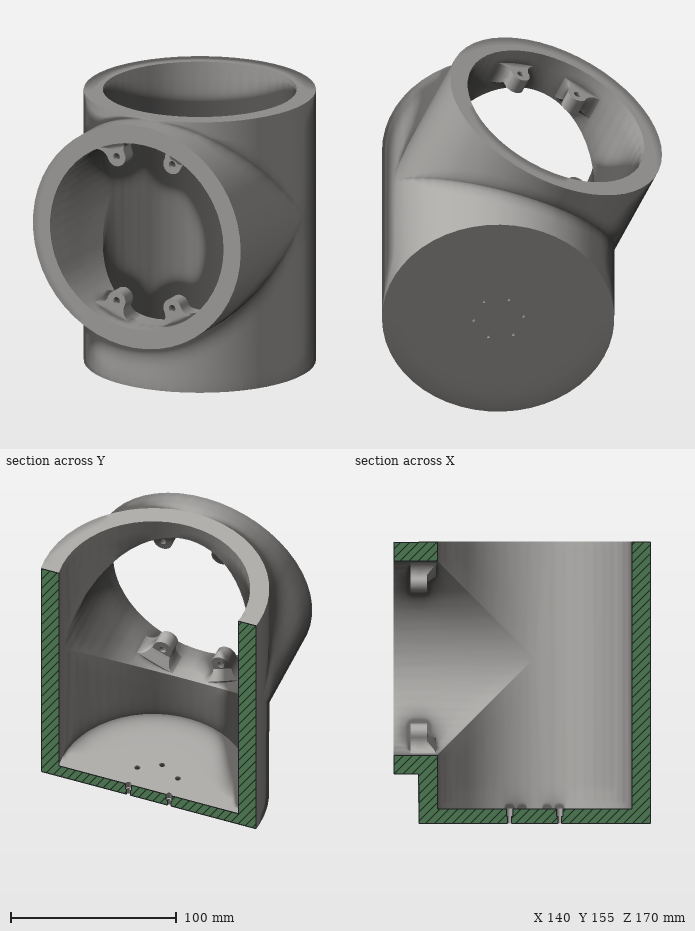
import cadquery as cq
import math

height = 170.0
outer_diameter = 140.0
bore_diameter = 117.0
branch_reach = 85.0
outer_radius = outer_diameter / 2
bore_radius = bore_diameter / 2
top_gap = 0.2
branch_axis_z = height - outer_radius - top_gap
floor_z = 9.0

floor_hole_count = 6
floor_hole_circle_radius = 15.1
floor_hole_diameter = 2.0
counterbore_diameter = 3.5
counterbore_depth = floor_z / 2

lug_angles = (22.5, 157.5, 202.5, 337.5)
lug_radius = 6.0
lug_fillet = 7.5
lug_hole_diameter = 4.5
lug_axis_radius = 49.0
lug_setback = 10.2
lug_length = 10.2
lug_back_taper = 5.3
fillet_overlap = 0.5
lug_embed = 1.7


def upright_cylinder(radius, bottom, top):
    return cq.Workplane("XY").workplane(offset=bottom).circle(radius).extrude(top - bottom)


def branch_cylinder(radius):
    plane = cq.Plane(origin=(0, 0, branch_axis_z), xDir=(1, 0, 0), normal=(0, -1, 0))
    return cq.Workplane(plane).circle(radius).extrude(branch_reach)


def floor_holes():
    return (
        cq.Workplane("XY")
        .workplane(offset=floor_z)
        .polarArray(floor_hole_circle_radius, 90, 360, floor_hole_count)
        .circle(floor_hole_diameter / 2)
        .extrude(-floor_z)
        .polarArray(floor_hole_circle_radius, 90, 360, floor_hole_count)
        .circle(counterbore_diameter / 2)
        .extrude(-counterbore_depth)
    )


def lug():
    """Lug pointing straight up from the branch axis, with its root inside the tube wall."""
    front_center = (0, lug_setback - branch_reach, branch_axis_z)
    foot_length = lug_length + lug_back_taper
    face = cq.Workplane("XZ", origin=front_center)
    foot_x = lug_radius + lug_fillet
    fillet_start_z = math.sqrt((bore_radius + fillet_overlap - lug_fillet) ** 2 - foot_x**2)
    foot_z = fillet_start_z + lug_fillet
    root_z = bore_radius + lug_embed
    solid = (
        face.moveTo(-lug_radius, lug_axis_radius)
        .threePointArc((0, lug_axis_radius - lug_radius), (lug_radius, lug_axis_radius))
        .lineTo(lug_radius, fillet_start_z)
        .radiusArc((foot_x, foot_z), lug_fillet)
        .lineTo(foot_x, root_z)
        .lineTo(-foot_x, root_z)
        .lineTo(-foot_x, foot_z)
        .radiusArc((-lug_radius, fillet_start_z), lug_fillet)
        .close()
        .extrude(-foot_length)
    )
    behind_back = (
        cq.Workplane("YZ", origin=front_center)
        .moveTo(lug_length, 0)
        .lineTo(lug_length, foot_z - lug_back_taper)
        .lineTo(foot_length, foot_z)
        .lineTo(foot_length, 0)
        .close()
        .extrude(foot_x, both=True)
    )
    hole = face.center(0, lug_axis_radius).circle(lug_hole_diameter / 2).extrude(-foot_length)
    return solid.cut(behind_back).cut(hole)


def branch_bore():
    """Open space of the branch: its bore with the lugs left standing."""
    space = branch_cylinder(bore_radius)
    axis_start = (0, 0, branch_axis_z)
    axis_end = (0, 1, branch_axis_z)
    for angle in lug_angles:
        space = space.cut(lug().rotate(axis_start, axis_end, angle))
    return space


tee_outside = upright_cylinder(outer_radius, 0, height).union(branch_cylinder(outer_radius))
upright_bore = upright_cylinder(bore_radius, floor_z, height)
result = tee_outside.cut(upright_bore).cut(branch_bore()).cut(floor_holes())